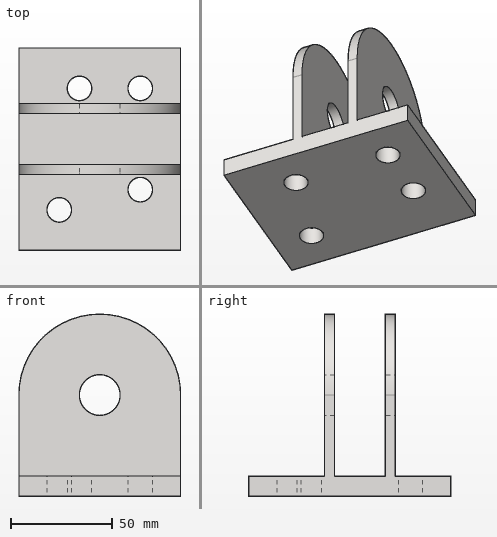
import cadquery as cq

base_length_x = 80.0
base_width_y = 100.0
base_thickness = 10.0

mounting_hole_diameter = 12.0
mounting_hole_centres = [(-10.0, 30.0), (20.0, 30.0), (20.0, -20.0), (-20.0, -30.0)]

total_height = 90.0
lug_thickness = 5.0
lug_centres_y = [-10.0, 20.0]
lug_radius = base_length_x / 2
pin_axis_z = total_height - lug_radius
pin_hole_diameter = 20.0


def make_base():
    """Rectangular plate with its mounting holes."""
    plate = cq.Workplane("XY").box(
        base_length_x, base_width_y, base_thickness, centered=(True, True, False)
    )
    return (
        plate.faces(">Z")
        .workplane(origin=(0, 0, base_thickness))
        .pushPoints(mounting_hole_centres)
        .hole(mounting_hole_diameter)
    )


def make_lug(centre_y):
    """Upright lug standing on the base, with a pin hole concentric to its round top."""
    profile = (
        cq.Workplane("XZ", origin=(0, centre_y, 0))
        .moveTo(-lug_radius, base_thickness)
        .lineTo(lug_radius, base_thickness)
        .lineTo(lug_radius, pin_axis_z)
        .threePointArc((0, total_height), (-lug_radius, pin_axis_z))
        .close()
        .moveTo(0, pin_axis_z)
        .circle(pin_hole_diameter / 2)
    )
    return profile.extrude(lug_thickness / 2, both=True)


result = make_base()
for lug_centre_y in lug_centres_y:
    result = result.union(make_lug(lug_centre_y))